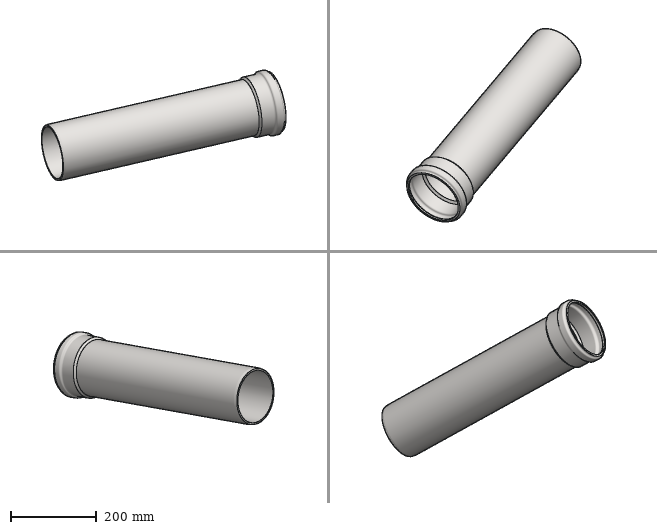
import cadquery as cq
import math

length = 563.0
pipe_radius = 135.0 / 2
bore_radius = 124.5 / 2
socket_radius = 145.0 / 2
socket_bore_radius = 135.5 / 2
bead_radius = 155.5 / 2
groove_radius = 147.5 / 2

bevel_length = 7.5
bevel_depth = 1.0

lip_length = 1.5
bead_start = 9.0
bead_end = 21.0
neck_start = 29.0
socket_end = 61.5
pipe_start = 66.5

flank_inset = 2.0


def add_flank(profile, start, end):
    """Add two equal tangent arcs forming an S that starts and ends parallel to the axis."""
    half_rise = (end[0] - start[0]) / 2
    half_run = (end[1] - start[1]) / 2
    middle = (start[0] + half_rise, start[1] + half_run)

    chord_angle = math.atan2(abs(half_rise), abs(half_run))
    arc_radius = math.hypot(half_rise, half_run) / (2 * math.sin(chord_angle))
    rise = math.copysign(arc_radius * (1 - math.cos(chord_angle)), half_rise)
    run = math.copysign(arc_radius * math.sin(chord_angle), half_run)

    profile = profile.threePointArc((start[0] + rise, start[1] + run), middle)
    return profile.threePointArc((end[0] - rise, end[1] - run), end)


def revolved_body(base_radius, socket_size, ring_radius, inset):
    """Solid of pipe, socket and raised ring, with the ring flanks moved inward by inset."""
    neck = (socket_size, length - neck_start + inset)
    ring_back = (ring_radius, length - bead_end + inset)
    ring_front = (ring_radius, length - bead_start - inset)
    lip = (socket_size, length - lip_length - inset)

    profile = (
        cq.Workplane("XY")
        .moveTo(0, 0)
        .lineTo(base_radius, 0)
        .lineTo(base_radius, length - pipe_start)
        .lineTo(socket_size, length - socket_end)
        .lineTo(*neck)
    )
    profile = add_flank(profile, neck, ring_back).lineTo(*ring_front)
    profile = add_flank(profile, ring_front, lip)
    profile = profile.lineTo(socket_size, length).lineTo(0, length).close()
    return profile.revolve(360, (0, 0, 0), (0, 1, 0))


def end_bevel():
    """Ring of material removed from the outside of the plain end."""
    return (
        cq.Workplane("XY")
        .moveTo(pipe_radius - bevel_depth, 0)
        .lineTo(pipe_radius, 0)
        .lineTo(pipe_radius, bevel_length)
        .close()
        .revolve(360, (0, 0, 0), (0, 1, 0))
    )


outside = revolved_body(pipe_radius, socket_radius, bead_radius, 0)
inside = revolved_body(bore_radius, socket_bore_radius, groove_radius, flank_inset)
result = outside.cut(inside).cut(end_bevel())